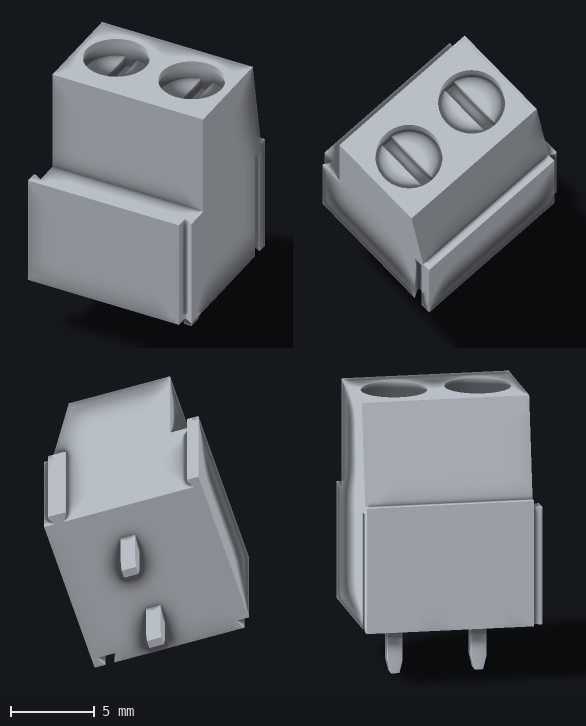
import cadquery as cq
import math


pitch = 5.08
pole_count = 2
block_width = pole_count * pitch
block_depth = 9.8
block_height = 13.8
pole_x = [(i + 0.5) * pitch for i in range(pole_count)]
pole_y = 5.3

front_ledge_depth = 1.95
front_ledge_height = 7.16
rear_ledge_depth = 0.5
rear_ledge_height = 7.68
rear_slope_run = 1.04

screw_diameter = 4.0
screw_recess_depth = 1.2
screw_slot_width = 0.8
screw_slot_depth = 0.7

pin_width = 0.9
pin_thickness = 0.9
pin_length = 3.5
pin_y = 5.23
pin_tip_width = 0.5
pin_taper_length = 0.8

joint_depth = 0.6
joint_flare = joint_depth * math.tan(math.radians(30))
joint_tip_radius = 0.1
hook_root_width = 0.47
dovetail_root_width = 0.57
dovetail_from_rear = 0.96
dovetail_y = block_depth - dovetail_from_rear


def block_body():
    """Housing profile in the YZ plane, extruded over the full width."""
    rear_slope_foot = block_depth - rear_ledge_depth
    return (
        cq.Workplane("YZ")
        .moveTo(0, 0)
        .lineTo(block_depth, 0)
        .lineTo(block_depth, rear_ledge_height)
        .lineTo(rear_slope_foot, rear_ledge_height)
        .lineTo(rear_slope_foot - rear_slope_run, block_height)
        .lineTo(front_ledge_depth, block_height)
        .lineTo(front_ledge_depth, front_ledge_height)
        .lineTo(0, front_ledge_height)
        .close()
        .extrude(block_width)
    )


def hook(root_x):
    """Front hook, flared towards its rounded tip on the -X side of root_x."""
    return (
        cq.Workplane("XY")
        .moveTo(root_x, 0)
        .lineTo(root_x, hook_root_width)
        .lineTo(root_x - joint_depth, hook_root_width + joint_flare)
        .lineTo(root_x - joint_depth, 0)
        .close()
        .extrude(front_ledge_height)
        .edges("|Z and <X and >Y")
        .fillet(joint_tip_radius)
    )


def dovetail(root_x):
    """Rear dovetail, flared towards its rounded tip on the -X side of root_x."""
    half_root = dovetail_root_width / 2
    half_tip = half_root + joint_flare
    return (
        cq.Workplane("XY")
        .moveTo(root_x, dovetail_y - half_root)
        .lineTo(root_x, dovetail_y + half_root)
        .lineTo(root_x - joint_depth, dovetail_y + half_tip)
        .lineTo(root_x - joint_depth, dovetail_y - half_tip)
        .close()
        .extrude(front_ledge_height)
        .edges("|Z and <X")
        .fillet(joint_tip_radius)
    )


def screw_recess(x):
    """Round recess down to the screw head, with the driver slot in its floor."""
    floor_z = block_height - screw_recess_depth
    recess = (
        cq.Workplane("XY", origin=(x, pole_y, floor_z))
        .circle(screw_diameter / 2)
        .extrude(screw_recess_depth)
    )
    slot_floor = cq.Workplane("XY", origin=(x, pole_y, floor_z - screw_slot_depth))
    slot_bar = (
        slot_floor
        .rect(screw_slot_width, screw_diameter)
        .extrude(screw_slot_depth)
    )
    screw_head = (
        slot_floor
        .circle(screw_diameter / 2)
        .extrude(screw_slot_depth)
    )
    return recess.union(slot_bar.intersect(screw_head))


def pin(x):
    """Solder pin below the housing, tapered in width at its tip."""
    half_width = pin_width / 2
    half_tip = pin_tip_width / 2
    return (
        cq.Workplane("XZ", origin=(x, pin_y, 0))
        .moveTo(-half_width, 0)
        .lineTo(half_width, 0)
        .lineTo(half_width, pin_taper_length - pin_length)
        .lineTo(half_tip, -pin_length)
        .lineTo(-half_tip, -pin_length)
        .lineTo(-half_width, pin_taper_length - pin_length)
        .close()
        .extrude(pin_thickness / 2, both=True)
    )


def complete_block():
    """The whole block before it is divided into modules."""
    block = block_body()
    for joint in (hook, dovetail):
        block = block.union(joint(0))
        block = block.cut(joint(block_width))
    for x in pole_x:
        block = block.cut(screw_recess(x)).union(pin(x))
    return block


def module(block, x_start, x_end):
    """The part of the block between two X planes, as a separate solid."""
    slice_box = (
        cq.Workplane("XY", origin=(x_start, 0, -pin_length))
        .box(x_end - x_start, block_depth, block_height + pin_length, centered=False)
    )
    return block.intersect(slice_box)


block = complete_block()
left_end = module(block, -joint_depth, pole_x[0])
middle = module(block, pole_x[0], pole_x[1])
right_end = module(block, pole_x[1], block_width)

result = cq.Compound.makeCompound([left_end.val(), middle.val(), right_end.val()])